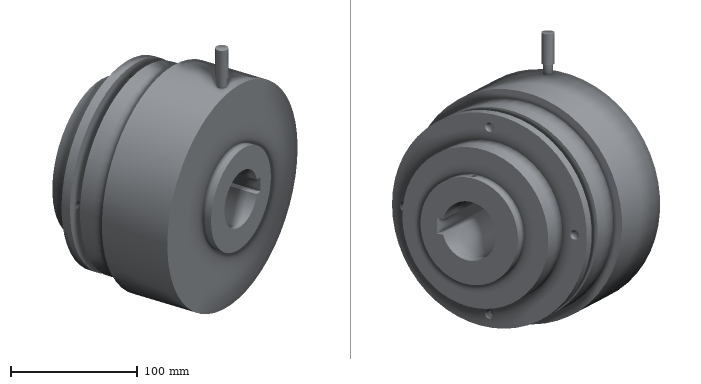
import cadquery as cq
import math

left_hub_length = 9.8
collar_length = 22.7
flange_thickness = 8.0
cone_length = 9.3
ring_length = 25.5
drum_length = 61.4
right_hub_length = 8.0

hub_radius = 44.3
collar_radius = 66.4
flange_radius = 88.7
cone_start_radius = 70.5
cone_end_radius = 75.0
drum_diameter = 193.0
drum_radius = drum_diameter / 2

bore_radius = 24.5
keyway_width = 13.0
keyway_reach = 29.0

flange_hole_count = 4
flange_hole_circle_radius = 77.5
flange_hole_diameter = 6.5
flange_hole_mouth_diameter = 8.0
set_screw_diameter = 5.0
set_screw_mouth_diameter = 6.1
set_screw_x = 6.4

pin_x = 126.6
pin_neck_diameter = 8.2
pin_neck_height = 8.6
pin_head_diameter = 10.5
overall_height = 227.3

collar_start = left_hub_length
flange_start = collar_start + collar_length
flange_end = flange_start + flange_thickness
ring_start = flange_end + cone_length
drum_start = ring_start + ring_length
drum_end = drum_start + drum_length
overall_length = drum_end + right_hub_length
pin_top = overall_height - drum_radius
pin_head_bottom = drum_radius + pin_neck_height


def make_body():
    """Turned body: hub, collar, flange, cone, ring, drum and right hub."""
    profile = (
        cq.Workplane("XY")
        .moveTo(0, 0)
        .lineTo(0, hub_radius)
        .lineTo(collar_start, hub_radius)
        .lineTo(collar_start, collar_radius)
        .lineTo(flange_start, collar_radius)
        .lineTo(flange_start, flange_radius)
        .lineTo(flange_end, flange_radius)
        .lineTo(flange_end, cone_start_radius)
        .lineTo(ring_start, cone_end_radius)
        .lineTo(ring_start, flange_radius)
        .lineTo(drum_start, flange_radius)
        .lineTo(drum_start, drum_radius)
        .lineTo(drum_end, drum_radius)
        .lineTo(drum_end, hub_radius)
        .lineTo(overall_length, hub_radius)
        .lineTo(overall_length, 0)
        .close()
    )
    return profile.revolve(360, (0, 0, 0), (1, 0, 0))


def make_bore():
    """Through bore joined with its keyway slot."""
    bore = cq.Workplane("YZ").circle(bore_radius).extrude(overall_length)
    keyway = (
        cq.Workplane("YZ")
        .center(keyway_reach / 2, 0)
        .rect(keyway_reach, keyway_width)
        .extrude(overall_length)
    )
    return bore.union(keyway)


def make_chamfered_hole(mouth, direction, diameter, mouth_diameter, depth):
    """Cutter for a round hole with a 45 degree chamfer at its mouth."""
    chamfer_depth = (mouth_diameter - diameter) / 2
    shaft = cq.Solid.makeCylinder(diameter / 2, depth, mouth, direction)
    chamfer = cq.Solid.makeCone(mouth_diameter / 2, diameter / 2, chamfer_depth, mouth, direction)
    return shaft.fuse(chamfer)


def make_pin():
    """Stepped pin, its neck rooted inside the drum wall."""
    root_depth = drum_radius - flange_radius
    neck = (
        cq.Workplane("XY", origin=(pin_x, 0, flange_radius))
        .circle(pin_neck_diameter / 2)
        .extrude(root_depth + pin_neck_height)
    )
    head = (
        cq.Workplane("XY", origin=(pin_x, 0, pin_head_bottom))
        .circle(pin_head_diameter / 2)
        .extrude(pin_top - pin_head_bottom)
    )
    return neck.union(head)


result = make_body().cut(make_bore()).union(make_pin())

for index in range(flange_hole_count):
    angle = 2 * math.pi * index / flange_hole_count
    hole_y = flange_hole_circle_radius * math.cos(angle)
    hole_z = flange_hole_circle_radius * math.sin(angle)
    flange_hole = make_chamfered_hole(
        cq.Vector(flange_start, hole_y, hole_z),
        cq.Vector(1, 0, 0),
        flange_hole_diameter,
        flange_hole_mouth_diameter,
        flange_thickness,
    )
    result = result.cut(cq.Workplane(flange_hole))

set_screw_hole = make_chamfered_hole(
    cq.Vector(set_screw_x, 0, hub_radius),
    cq.Vector(0, 0, -1),
    set_screw_diameter,
    set_screw_mouth_diameter,
    hub_radius,
)
result = result.cut(cq.Workplane(set_screw_hole))